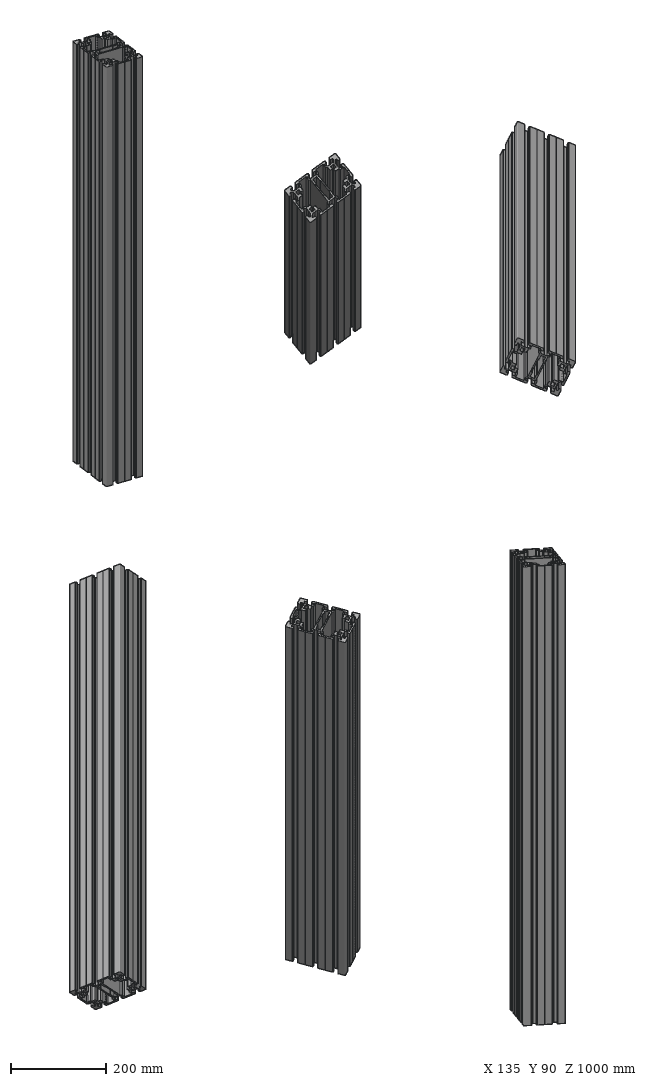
import cadquery as cq

length = 1000.0
module = 45.0
columns = 3
rows = 2
width = columns * module
depth = rows * module
corner_radius = 2.0

mouth_width = 10.0
mouth_chamfer = 1.5
lip_thickness = 6.0
slot_width = 21.0
slot_floor_width = 14.0
slot_straight_depth = 9.0
slot_depth = 13.0

groove_width = 1.0
groove_depth = 0.5

skin = 4.0
slot_wall = 2.5

core_width = 19.0
bore_width = 10.0
bore_inner_reach = 3.0
bore_gap_offset = 1.5

slope_start = 9.0
slope_end = 7.5

centre_wall = 3.0
wide_part_length = 32.0

core_x = (width - module) / 2
core_y = (depth - module) / 2
core_half = core_width / 2
bore_half = bore_width / 2
slot_wall_reach = slot_width / 2 + slot_wall


def mirrored_prism(half_outline):
    """Full-length prism whose outline is completed by mirroring it across the X axis."""
    other_half = [(x, -y) for x, y in reversed(half_outline) if y != 0]
    return cq.Workplane("XY").polyline(half_outline + other_half).close().extrude(length)


def cut_outer_side(body, notch, face_distance, positions, angle):
    """Cut copies of a notch, which points along -X from the origin, into one outer side."""
    for position in positions:
        placed = notch.translate((face_distance, position, 0))
        body = body.cut(placed.rotate((0, 0, 0), (0, 0, 1), angle))
    return body


def t_slot():
    """T-slot with chamfered mouth, tapered bottom and a V-groove along its floor."""
    mouth = mouth_width / 2
    return mirrored_prism([
        (0, mouth + mouth_chamfer),
        (-mouth_chamfer, mouth),
        (-lip_thickness, mouth),
        (-lip_thickness, slot_width / 2),
        (-slot_straight_depth, slot_width / 2),
        (-slot_depth, slot_floor_width / 2),
        (-slot_depth, groove_width / 2),
        (-slot_depth - groove_depth, 0),
    ])


def joint_groove():
    """V-groove that marks the joint between two modules."""
    return mirrored_prism([(0, groove_width / 2), (-groove_depth, 0)])


def end_chamber():
    """Large chamber on the +X side; it opens into the bores of the two corner modules."""
    top = depth / 2 - skin
    return mirrored_prism([
        (core_half, core_y + slope_end),
        (slot_wall_reach, core_y + slope_start),
        (slot_wall_reach, top),
        (core_x - slot_wall_reach, top),
        (core_x - slot_wall_reach, core_y + slope_start),
        (core_x - core_half, core_y + slope_end),
        (core_x - core_half, core_y - bore_gap_offset),
        (core_x - bore_gap_offset, core_y - bore_gap_offset),
        (core_x - bore_gap_offset, core_y - core_half),
        (core_x + slope_end, core_y - core_half),
        (core_x + slope_start, core_y - slot_wall_reach),
        (width / 2 - skin, core_y - slot_wall_reach),
    ])


def corner_bore():
    """Square screw bore of the corner module at +X, +Y."""
    size = bore_half + bore_inner_reach
    start = (core_x - bore_inner_reach, core_y - bore_inner_reach)
    return cq.Workplane("XY").moveTo(*start).rect(size, size, centered=False).extrude(length)


def centre_chamber():
    """Chamber in the centre column, narrowed to a screw channel at both ends."""
    wide = core_half - centre_wall
    step = wide_part_length / 2
    top = core_y + bore_half
    return mirrored_prism([
        (-wide, step),
        (-bore_half, step),
        (-bore_half, top),
        (bore_half, top),
        (bore_half, step),
        (wide, step),
    ])


profile = cq.Workplane("XY").rect(width, depth).extrude(length)
profile = profile.edges("|Z").fillet(corner_radius)

slot = t_slot()
groove = joint_groove()
for angle in (0, 180):
    profile = cut_outer_side(profile, slot, width / 2, (-core_y, core_y), angle)
    profile = cut_outer_side(profile, groove, width / 2, (0,), angle)
for angle in (90, 270):
    profile = cut_outer_side(profile, slot, depth / 2, (-core_x, 0, core_x), angle)
    profile = cut_outer_side(profile, groove, depth / 2, (-module / 2, module / 2), angle)

profile = profile.cut(centre_chamber())
chamber = end_chamber()
bore = corner_bore()
for cavity in (chamber, chamber.mirror("YZ")):
    profile = profile.cut(cavity)
for upper_bore in (bore, bore.mirror("YZ")):
    profile = profile.cut(upper_bore).cut(upper_bore.mirror("XZ"))

result = profile